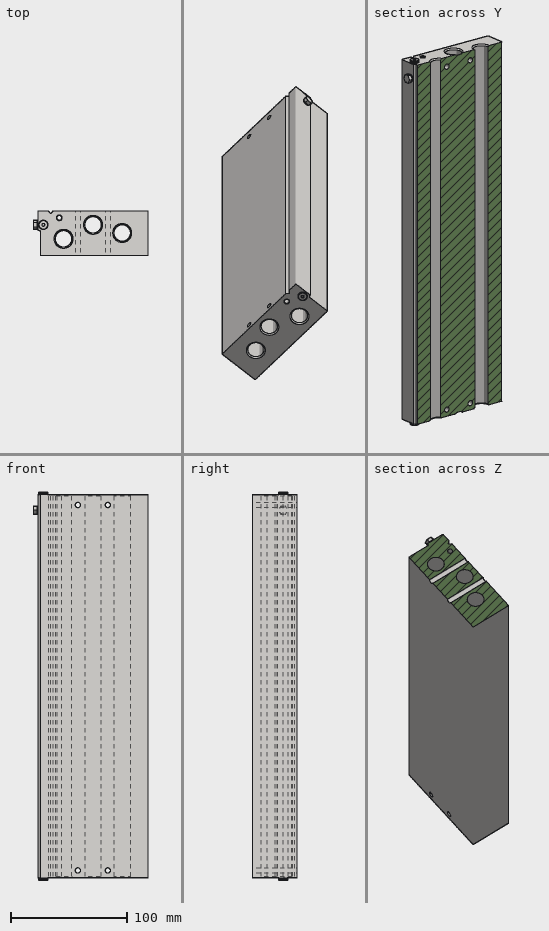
import cadquery as cq

BLOCK_WIDTH = 95.0
BLOCK_DEPTH = 38.5
BLOCK_HEIGHT = 330.0
OVERALL_HEIGHT = 334.5
STEP_WIDTH = 2.0
SHOULDER_TOP_Y = 21.7
SHOULDER_RISE = 0.7
EDGE_RADIUS = 0.5

GROOVE_X = 11.0
GROOVE_WIDTH = 4.0
GROOVE_DEPTH = 2.5

BORE_DIAMETER = 14.0
BORE_RIM_DIAMETER = 16.5
BORE_CENTERS = [(22.0, 14.5), (47.5, 26.5), (72.5, 19.5)]
SMALL_BORE_DIAMETER = 4.0
SMALL_BORE_RIM_DIAMETER = 5.0
SMALL_BORE_CENTER = (18.5, 32.5)

MOUNT_DIAMETER = 4.5
MOUNT_XS = [34.5, 60.2]
MOUNT_ZS = [6.5, BLOCK_HEIGHT - 9.0]

PLUG_CENTER = (4.7, 26.5)
PLUG_DIAMETER = 8.0
PLUG_HEIGHT = (OVERALL_HEIGHT - BLOCK_HEIGHT) / 2
PLUG_CHAMFER = 0.5
PLUG_NECK_DIAMETER = 7.5
PLUG_NECK_HEIGHT = 0.85
SOCKET_DIAMETER = 2.48
SOCKET_DEPTH = 1.5

HEX_CORNERS = 8.0
HEX_LENGTH = 4.0
HEX_NECK_DIAMETER = 6.7
HEX_NECK_LENGTH = 0.85
HEX_Z = BLOCK_HEIGHT / 2 + 151.5


def bore_cutter(center, diameter, rim_diameter):
    """Through bore with a 45-degree countersink at both ends."""
    rim = (rim_diameter - diameter) / 2
    profile = [
        (0, 0),
        (rim_diameter / 2, 0),
        (diameter / 2, rim),
        (diameter / 2, BLOCK_HEIGHT - rim),
        (rim_diameter / 2, BLOCK_HEIGHT),
        (0, BLOCK_HEIGHT),
    ]
    cutter = cq.Workplane("XZ").polyline(profile).close().revolve(360, (0, 0), (0, 1))
    return cutter.translate((center[0], center[1], 0))


def groove_cutter():
    """Full-height V-groove, open at the back face."""
    half = GROOVE_WIDTH / 2
    outline = [
        (GROOVE_X - half, BLOCK_DEPTH),
        (GROOVE_X, BLOCK_DEPTH - GROOVE_DEPTH),
        (GROOVE_X + half, BLOCK_DEPTH),
    ]
    return cq.Workplane("XY").polyline(outline).close().extrude(BLOCK_HEIGHT)


def make_block():
    outline = [
        (STEP_WIDTH, 0),
        (BLOCK_WIDTH, 0),
        (BLOCK_WIDTH, BLOCK_DEPTH),
        (0, BLOCK_DEPTH),
        (0, SHOULDER_TOP_Y),
        (STEP_WIDTH, SHOULDER_TOP_Y - SHOULDER_RISE),
    ]
    block = cq.Workplane("XY").polyline(outline).close().extrude(BLOCK_HEIGHT)
    block = block.edges("|Z").edges("<Y or >Y").fillet(EDGE_RADIUS)
    block = block.cut(groove_cutter())
    for center in BORE_CENTERS:
        block = block.cut(bore_cutter(center, BORE_DIAMETER, BORE_RIM_DIAMETER))
    block = block.cut(bore_cutter(SMALL_BORE_CENTER, SMALL_BORE_DIAMETER, SMALL_BORE_RIM_DIAMETER))
    mounts = (
        cq.Workplane("XZ")
        .pushPoints([(x, z) for x in MOUNT_XS for z in MOUNT_ZS])
        .circle(MOUNT_DIAMETER / 2)
        .extrude(-BLOCK_DEPTH)
    )
    return block.cut(mounts)


def make_end_plug(face_z, outward):
    """Round plug standing on an end face; outward is +1 or -1 along Z."""
    head_height = PLUG_HEIGHT - PLUG_NECK_HEIGHT
    neck = cq.Workplane("XY").circle(PLUG_NECK_DIAMETER / 2).extrude(outward * PLUG_NECK_HEIGHT)
    head = (
        cq.Workplane("XY")
        .workplane(offset=outward * PLUG_NECK_HEIGHT)
        .circle(PLUG_DIAMETER / 2)
        .extrude(outward * head_height)
        .faces(">Z" if outward > 0 else "<Z")
        .chamfer(PLUG_CHAMFER)
    )
    socket = (
        cq.Workplane("XY")
        .workplane(offset=outward * PLUG_HEIGHT)
        .circle(SOCKET_DIAMETER / 2)
        .extrude(-outward * SOCKET_DEPTH)
    )
    return neck.union(head).cut(socket).translate((*PLUG_CENTER, face_z))


def make_side_plug():
    """Hexagonal head, with corners pointing along Y, on a short round neck."""
    neck = cq.Workplane("YZ").circle(HEX_NECK_DIAMETER / 2).extrude(-HEX_NECK_LENGTH)
    head = (
        cq.Workplane("YZ")
        .workplane(offset=-HEX_NECK_LENGTH)
        .polygon(6, HEX_CORNERS)
        .extrude(-(HEX_LENGTH - HEX_NECK_LENGTH))
    )
    return neck.union(head).translate((0, PLUG_CENTER[1], HEX_Z))


block = make_block()
end_plugs = [make_end_plug(z, outward) for z, outward in [(0, -1), (BLOCK_HEIGHT, 1)]]
side_plug = make_side_plug()

result = cq.Compound.makeCompound(
    [block.val(), *[plug.val() for plug in end_plugs], side_plug.val()]
)